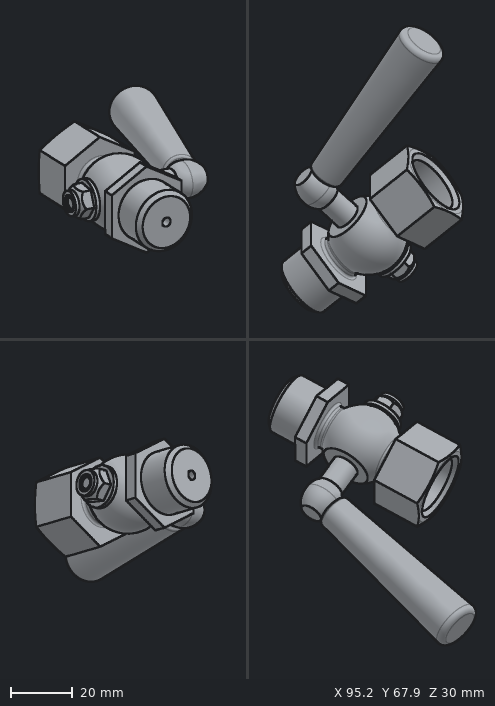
import cadquery as cq
import math


HALF_LENGTH = 30.0
BALL_DIAMETER = 25.7
BALL_TOP_Y = 9.7
BALL_BOTTOM_Y = -11.4
HEX_ACROSS_CORNERS = 30.0
HEX_INNER_X = 12.9
FLANGE_THICKNESS = 4.3
NECK_DIAMETER = 15.0
NECK_FILLET = 0.95
SPIGOT_DIAMETER = 20.9
SPIGOT_CHAMFER = 1.6
SOCKET_CHAMFER_DIAMETER = 25.7
SOCKET_CHAMFER_DEPTH = 0.7
SOCKET_BORE_DIAMETER = 19.1
SOCKET_MOUTH_DIAMETER = 22.3
SOCKET_DEPTH = 14.0
SEAT_DIAMETER = 9.5
SEAT_DEPTH = 0.95
PASSAGE_DIAMETER = 3.0

STEM_DIAMETER = 9.0
KNOB_DIAMETER = 12.6
KNOB_EQUATOR_Y = 23.6
KNOB_TOP_Y = 30.6
KNOB_TOP_DIAMETER = 7.5
KNOB_UPPER_Y = 27.8
KNOB_UPPER_DIAMETER = 11.4
STUD_DIAMETER = 4.95
STUD_CHAMFER = 0.6
STUD_END_Y = -18.5

WASHER_DIAMETER = 14.0
WASHER_THICKNESS = 1.4
NUT_ACROSS_CORNERS = 11.5
NUT_TURN = -7.0
NUT_HEX_HEIGHT = 4.7
NUT_CHAMFER_HEIGHT = 1.7
COLLAR_DIAMETER = 8.5
COLLAR_HEIGHT = 1.3
COLLAR_MOUTH_DIAMETER = 5.7
COLLAR_MOUTH_DEPTH = 0.3

HANDLE_TILT = 15.0
HANDLE_PIVOT_Y = 24.5
HANDLE_START = 5.7
HANDLE_END = 65.8
HANDLE_START_DIAMETER = 12.0
HANDLE_END_DIAMETER = 16.75
HANDLE_START_FILLET = 0.95
HANDLE_END_FILLET = 2.1


def cylinder_x(diameter, x_start, x_end):
    return cq.Workplane("YZ").workplane(offset=x_start).circle(diameter / 2).extrude(x_end - x_start)


def cylinder_y(diameter, y_start, y_end):
    """Cylinder from y_start down to y_end."""
    return (
        cq.Workplane("XZ").workplane(offset=-y_start)
        .circle(diameter / 2).extrude(y_start - y_end)
    )


def body_hex(x_start, x_end):
    """Hex along X with two corners on the Z axis."""
    return (
        cq.Workplane("YZ").workplane(offset=x_start).transformed(rotate=(0, 0, 90))
        .polygon(6, HEX_ACROSS_CORNERS).extrude(x_end - x_start)
    )


def ball():
    """Ball turned about the spindle axis, with a flat at both ends."""
    radius = BALL_DIAMETER / 2
    top_flat_radius = math.sqrt(radius ** 2 - BALL_TOP_Y ** 2)
    bottom_flat_radius = math.sqrt(radius ** 2 - BALL_BOTTOM_Y ** 2)
    return (
        cq.Workplane("XY")
        .moveTo(0, BALL_BOTTOM_Y)
        .lineTo(bottom_flat_radius, BALL_BOTTOM_Y)
        .threePointArc((radius, 0), (top_flat_radius, BALL_TOP_Y))
        .lineTo(0, BALL_TOP_Y)
        .close()
        .revolve(360, (0, 0, 0), (0, 1, 0))
    )


def neck():
    """Neck from the ball to the +X hex, with a concave fillet at both ends."""
    neck_radius = NECK_DIAMETER / 2
    fillet_centre_radius = neck_radius + NECK_FILLET
    ball_fillet_x = math.sqrt((BALL_DIAMETER / 2 + NECK_FILLET) ** 2 - fillet_centre_radius ** 2)
    touch = BALL_DIAMETER / 2 / (BALL_DIAMETER / 2 + NECK_FILLET)
    hex_fillet_x = HEX_INNER_X - NECK_FILLET
    ball_touch = (touch * ball_fillet_x, touch * fillet_centre_radius)
    return (
        cq.Workplane("XY")
        .moveTo(0, 0)
        .lineTo(*ball_touch)
        .radiusArc((ball_fillet_x, neck_radius), -NECK_FILLET)
        .lineTo(hex_fillet_x, neck_radius)
        .radiusArc((HEX_INNER_X, fillet_centre_radius), -NECK_FILLET)
        .lineTo(HEX_INNER_X, 0)
        .close()
        .revolve(360, (0, 0, 0), (1, 0, 0))
    )


def socket_hex():
    """Socket hex with the corners of its open end turned to a shallow cone."""
    corner_radius = HEX_ACROSS_CORNERS / 2
    turned = (
        cq.Workplane("XY")
        .moveTo(-HALF_LENGTH, 0)
        .lineTo(-HALF_LENGTH, SOCKET_CHAMFER_DIAMETER / 2)
        .lineTo(-HALF_LENGTH + SOCKET_CHAMFER_DEPTH, corner_radius)
        .lineTo(-HEX_INNER_X, corner_radius)
        .lineTo(-HEX_INNER_X, 0)
        .close()
        .revolve(360, (0, 0, 0), (1, 0, 0))
    )
    return body_hex(-HALF_LENGTH, -HEX_INNER_X).intersect(turned)


def socket_cavity():
    floor_x = -HALF_LENGTH + SOCKET_DEPTH
    mouth_depth = (SOCKET_MOUTH_DIAMETER - SOCKET_BORE_DIAMETER) / 2
    mouth = (
        cq.Workplane("YZ").workplane(offset=-HALF_LENGTH).circle(SOCKET_MOUTH_DIAMETER / 2)
        .workplane(offset=mouth_depth).circle(SOCKET_BORE_DIAMETER / 2).loft(ruled=True)
    )
    bore = cylinder_x(SOCKET_BORE_DIAMETER, -HALF_LENGTH, floor_x)
    seat = cylinder_x(SEAT_DIAMETER, floor_x, floor_x + SEAT_DEPTH)
    return bore.union(mouth).union(seat)


def passage():
    return cylinder_x(PASSAGE_DIAMETER, -HALF_LENGTH, HALF_LENGTH)


def make_body():
    flange_outer_x = HEX_INNER_X + FLANGE_THICKNESS
    spigot = cylinder_x(SPIGOT_DIAMETER, flange_outer_x, HALF_LENGTH)
    spigot = spigot.faces(">X").chamfer(SPIGOT_CHAMFER)
    body = ball().union(neck()).union(neck().mirror("YZ"))
    body = body.union(body_hex(HEX_INNER_X, flange_outer_x)).union(spigot).union(socket_hex())
    spindle_hole = cylinder_y(STEM_DIAMETER, BALL_TOP_Y, BALL_BOTTOM_Y)
    return body.cut(socket_cavity()).cut(passage()).cut(spindle_hole)


def make_knob():
    radius = KNOB_DIAMETER / 2
    stem_radius = STEM_DIAMETER / 2
    lower_y = KNOB_EQUATOR_Y - math.sqrt(radius ** 2 - stem_radius ** 2)
    return (
        cq.Workplane("XY")
        .moveTo(0, lower_y)
        .lineTo(stem_radius, lower_y)
        .radiusArc((radius, KNOB_EQUATOR_Y), -radius)
        .threePointArc((KNOB_UPPER_DIAMETER / 2, KNOB_UPPER_Y), (KNOB_TOP_DIAMETER / 2, KNOB_TOP_Y))
        .lineTo(0, KNOB_TOP_Y)
        .close()
        .revolve(360, (0, 0, 0), (0, 1, 0))
    )


def make_spindle():
    stem = cylinder_y(STEM_DIAMETER, KNOB_EQUATOR_Y, BALL_BOTTOM_Y)
    stud = cylinder_y(STUD_DIAMETER, BALL_BOTTOM_Y, STUD_END_Y).faces("<Y").chamfer(STUD_CHAMFER)
    return stem.union(make_knob()).union(stud).cut(passage())


def make_handle(knob):
    """Tapered grip whose inner end is hollowed to seat on the knob."""
    grip = (
        cq.Workplane("YZ").workplane(offset=-HANDLE_END).circle(HANDLE_END_DIAMETER / 2)
        .workplane(offset=HANDLE_END - HANDLE_START).circle(HANDLE_START_DIAMETER / 2)
        .loft(ruled=True)
    )
    grip = grip.faces("<X").edges().fillet(HANDLE_END_FILLET)
    grip = grip.faces(">X").edges().fillet(HANDLE_START_FILLET)
    grip = grip.rotate((0, 0, 0), (0, 0, 1), -HANDLE_TILT).translate((0, HANDLE_PIVOT_Y, 0))
    return grip.cut(knob)


def make_washer():
    washer = cylinder_y(WASHER_DIAMETER, BALL_BOTTOM_Y, BALL_BOTTOM_Y - WASHER_THICKNESS)
    return washer.faces("<Y").workplane().hole(STUD_DIAMETER)


def make_nut():
    """Hex nut with a conical shoulder and a round collar around the stud end."""
    top_y = BALL_BOTTOM_Y - WASHER_THICKNESS
    shoulder_y = top_y - NUT_HEX_HEIGHT
    end_y = shoulder_y - COLLAR_HEIGHT
    corner_radius = NUT_ACROSS_CORNERS / 2
    turned = (
        cq.Workplane("XY")
        .moveTo(0, top_y)
        .lineTo(corner_radius, top_y)
        .lineTo(corner_radius, shoulder_y + NUT_CHAMFER_HEIGHT)
        .lineTo(COLLAR_DIAMETER / 2, shoulder_y)
        .lineTo(0, shoulder_y)
        .close()
        .revolve(360, (0, 0, 0), (0, 1, 0))
    )
    hexagon = (
        cq.Workplane("XZ").workplane(offset=-top_y).transformed(rotate=(0, 0, NUT_TURN))
        .polygon(6, NUT_ACROSS_CORNERS).extrude(NUT_HEX_HEIGHT)
    )
    nut = hexagon.intersect(turned).union(cylinder_y(COLLAR_DIAMETER, shoulder_y, end_y))
    mouth = (
        cq.Workplane("XZ").workplane(offset=-end_y).circle(COLLAR_MOUTH_DIAMETER / 2)
        .workplane(offset=-COLLAR_MOUTH_DEPTH).circle(STUD_DIAMETER / 2).loft(ruled=True)
    )
    return nut.cut(cylinder_y(STUD_DIAMETER, top_y, end_y)).cut(mouth)


body = make_body().solids()
spindle = make_spindle().solids()
handle = make_handle(make_knob()).solids()
washer = make_washer().solids()
nut = make_nut().solids()

result = cq.Compound.makeCompound([body.val(), spindle.val(), handle.val(), washer.val(), nut.val()])